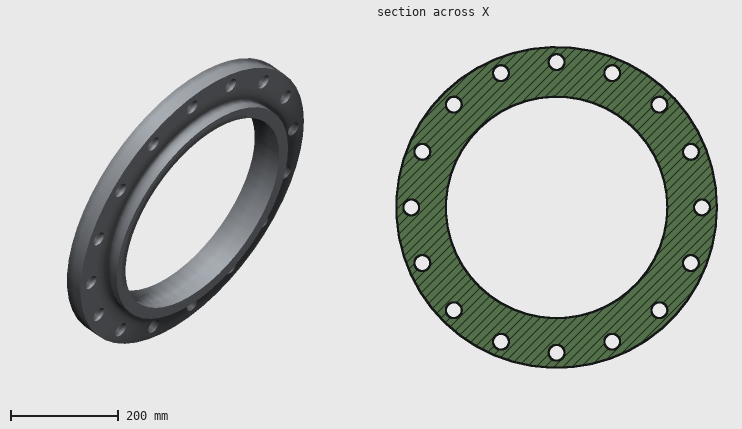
import cadquery as cq

flange_diameter = 597.0
total_length = 63.0

face_diameter = 470.0
face_height = 2.0

plate_thickness = 35.0
hub_diameter = 458.0
bore_diameter = 410.5
hub_fillet_radius = 6.0

bolt_count = 16
bolt_circle_diameter = 540.0
bolt_hole_diameter = 28.5

plate_back = face_height + plate_thickness


def body():
    """Ring turned about the X axis, with a concave fillet where the hub meets the plate."""
    bore_radius = bore_diameter / 2
    face_radius = face_diameter / 2
    flange_radius = flange_diameter / 2
    hub_radius = hub_diameter / 2
    profile = (
        cq.Workplane("XY")
        .moveTo(0, bore_radius)
        .lineTo(0, face_radius)
        .lineTo(face_height, face_radius)
        .lineTo(face_height, flange_radius)
        .lineTo(plate_back, flange_radius)
        .lineTo(plate_back, hub_radius + hub_fillet_radius)
        .radiusArc((plate_back + hub_fillet_radius, hub_radius), -hub_fillet_radius)
        .lineTo(total_length, hub_radius)
        .lineTo(total_length, bore_radius)
        .close()
    )
    return profile.revolve(360, (0, 0, 0), (1, 0, 0))


def bolt_holes():
    """Through holes evenly spaced on the bolt circle."""
    return (
        cq.Workplane("YZ")
        .polarArray(bolt_circle_diameter / 2, 0, 360, bolt_count)
        .circle(bolt_hole_diameter / 2)
        .extrude(total_length)
    )


result = body().cut(bolt_holes())